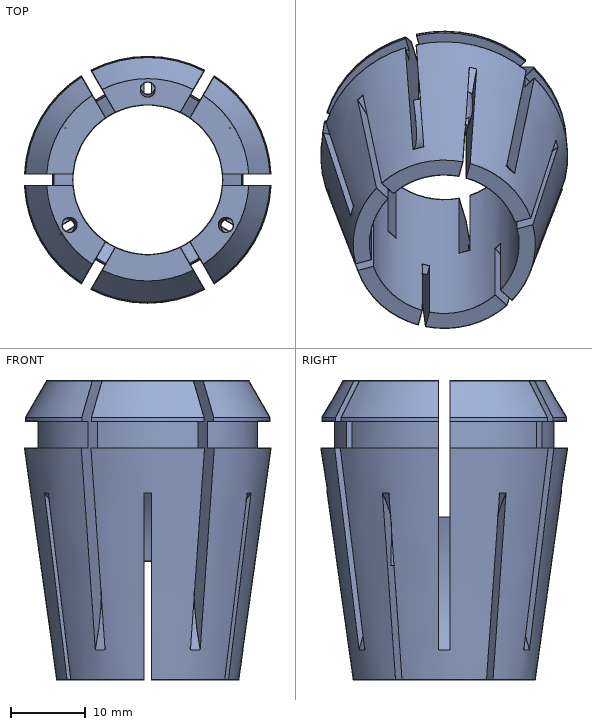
import cadquery as cq
import math

total_height = 40.0
bore_radius = 10.0

taper_height = 31.0
taper_top_radius = 16.5
taper_half_angle = 7.95
taper_bottom_radius = taper_top_radius - taper_height * math.tan(math.radians(taper_half_angle))

groove_radius = 14.7
groove_top = 34.55

nose_rim_radius = 16.35
nose_rim_height = 0.55
nose_half_angle = 30.0
nose_cone_bottom = groove_top + nose_rim_height
nose_cone_height = total_height - nose_cone_bottom
nose_top_radius = nose_rim_radius - nose_cone_height * math.tan(math.radians(nose_half_angle))

slots_per_set = 6
slot_pitch = 360.0 / slots_per_set
slot_overcut = 2.0

end_arc_radius = 30.0

upper_slot_width = 1.5
upper_slot_first_angle = 0.0
upper_slot_tip_radius = 12.5
upper_slot_tip_height = 21.8
upper_slot_outer_height = 4.0
upper_slot_floor_radius = 25.0

lower_slot_width = 1.0
lower_slot_first_angle = slot_pitch / 2
lower_slot_tip_radius = 11.15
lower_slot_tip_height = 15.85
lower_slot_outer_height = 25.0
lower_slot_floor_radius = 18.0

hole_count = 3
hole_first_angle = 90.0
hole_diameter = 2.0
hole_circle_radius = 12.05
hole_depth = 24.7
hole_outward_tilt = 1.0
drill_lead = 2.0


def taper_radius_at(z):
    """Outer radius of the clamping taper at height z."""
    return taper_bottom_radius + z * math.tan(math.radians(taper_half_angle))


def make_body():
    """Revolved collet ring with taper, groove and nose."""
    outline = [
        (bore_radius, 0),
        (taper_bottom_radius, 0),
        (taper_top_radius, taper_height),
        (groove_radius, taper_height),
        (groove_radius, groove_top),
        (nose_rim_radius, groove_top),
        (nose_rim_radius, nose_cone_bottom),
        (nose_top_radius, total_height),
        (bore_radius, total_height),
    ]
    return cq.Workplane("XZ").polyline(outline).close().revolve(360, (0, 0), (0, 1))


def arc_sagitta(radius, start, end):
    """Height of an arc of the given radius above the chord from start to end."""
    half_chord = math.dist(start, end) / 2
    return radius - math.sqrt(radius**2 - half_chord**2)


def end_arc_drop(radius):
    """Axial distance from the crest of the end arc to its point at the given radius."""
    return end_arc_radius - math.sqrt(end_arc_radius**2 - radius**2)


def make_slot(width, tip, outer_height, floor_radius, open_height):
    """Radial slot cutter along +X, open at open_height and blind at the tip and taper floor."""
    inner_radius = bore_radius - slot_overcut
    outer_radius = taper_top_radius + slot_overcut
    tip_radius, tip_height = tip
    side = math.copysign(1, open_height - tip_height)
    end_depth = end_arc_drop(tip_radius) - end_arc_drop(inner_radius)
    end_start = (inner_radius, tip_height - side * end_depth)
    floor_end = (taper_radius_at(outer_height), outer_height)
    profile = (
        cq.Workplane("XZ")
        .moveTo(inner_radius, open_height)
        .lineTo(*end_start)
        .sagittaArc(tip, -side * arc_sagitta(end_arc_radius, end_start, tip))
        .sagittaArc(floor_end, -side * arc_sagitta(floor_radius, tip, floor_end))
        .lineTo(outer_radius, outer_height)
        .lineTo(outer_radius, open_height)
        .close()
    )
    return profile.extrude(width / 2, both=True)


def cut_around(body, cutter, count, first_angle):
    """Cut evenly spaced copies of a cutter around the collet axis."""
    for i in range(count):
        angle = first_angle + i * 360.0 / count
        body = body.cut(cutter.rotate((0, 0, 0), (0, 0, 1), angle))
    return body


def cut_upper_slots(body):
    """Slots open at the nose face."""
    cutter = make_slot(
        upper_slot_width,
        (upper_slot_tip_radius, upper_slot_tip_height),
        upper_slot_outer_height,
        upper_slot_floor_radius,
        total_height + slot_overcut,
    )
    return cut_around(body, cutter, slots_per_set, upper_slot_first_angle)


def cut_lower_slots(body):
    """Slots open at the bottom face."""
    cutter = make_slot(
        lower_slot_width,
        (lower_slot_tip_radius, lower_slot_tip_height),
        lower_slot_outer_height,
        lower_slot_floor_radius,
        -slot_overcut,
    )
    return cut_around(body, cutter, slots_per_set, lower_slot_first_angle)


def cut_coolant_holes(body):
    """Blind holes that lean slightly outward as they go down."""
    tilt = math.radians(hole_outward_tilt)
    direction = cq.Vector(math.sin(tilt), 0, -math.cos(tilt))
    mouth = cq.Vector(hole_circle_radius, 0, total_height)
    start = mouth - direction * drill_lead
    drill = cq.Workplane(cq.Solid.makeCylinder(
        hole_diameter / 2, hole_depth + drill_lead, start, direction,
    ))
    return cut_around(body, drill, hole_count, hole_first_angle)


result = cut_coolant_holes(cut_lower_slots(cut_upper_slots(make_body())))